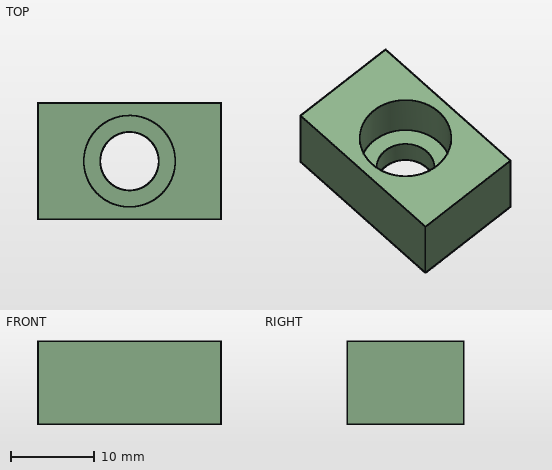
import cadquery as cq

block_length = 22.0
block_width = 14.0
block_height = 10.0

through_hole_diameter = 7.0
counterbore_diameter = 11.0
counterbore_depth = 6.5


def make_block():
    """Plain rectangular block centred on the origin."""
    return cq.Workplane("XY").box(block_length, block_width, block_height)


def cut_counterbored_hole(body):
    """Through hole with a flat-bottomed counterbore opening on the top face."""
    return body.faces(">Z").workplane().cboreHole(
        through_hole_diameter, counterbore_diameter, counterbore_depth
    )


result = cut_counterbored_hole(make_block())